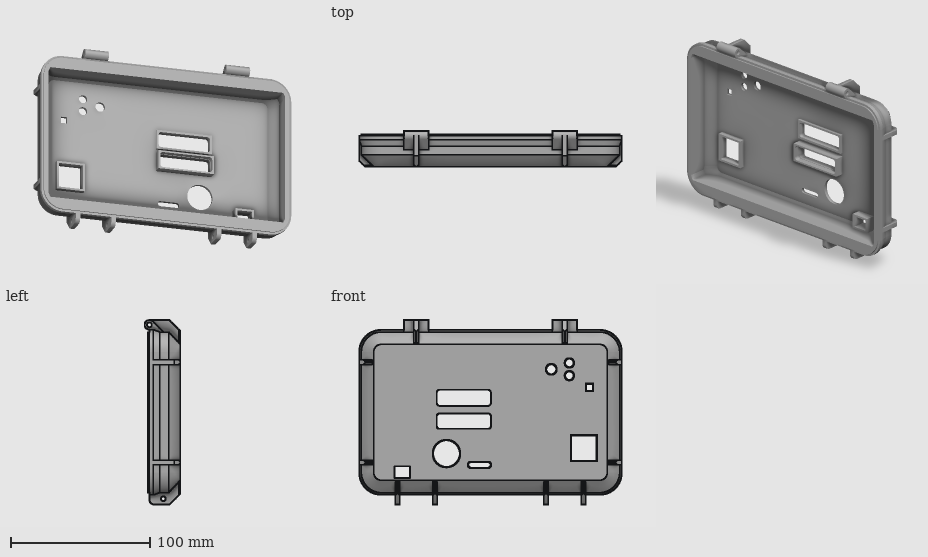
import cadquery as cq
import math

RIM_LENGTH = 188.52
RIM_HEIGHT = 118.52
RIM_CORNER_RADIUS = 16.0
RIM_Y = 22.3
WALL = 3.0
WAIST_INSET = 1.65
PANEL_INSET = 10.5
BEVEL_END_Y = 8.5
WAIST_END_Y = 14.85
RIM_START_Y = 19.4
LIP_HEIGHT = 1.1

OUTER_STATIONS = [
    (0, PANEL_INSET),
    (BEVEL_END_Y, WAIST_INSET),
    (WAIST_END_Y, WAIST_INSET),
    (RIM_START_Y, 0),
    (RIM_Y, 0),
]

CAVITY_LENGTH = 178.6
CAVITY_HEIGHT = 98.8
CAVITY_CORNER_RADIUS = 2.0
CAVITY_INSET = WAIST_INSET + WALL
BEVEL_SLOPE = (PANEL_INSET - WAIST_INSET) / BEVEL_END_Y
BEVEL_WALL_SHIFT = WALL * math.hypot(1, BEVEL_SLOPE)
CAVITY_FLOOR_INSET = PANEL_INSET + BEVEL_WALL_SHIFT - WALL * BEVEL_SLOPE
CAVITY_BEVEL_END_Y = WALL + (CAVITY_FLOOR_INSET - CAVITY_INSET) / BEVEL_SLOPE
CAVITY_STATIONS = [
    (WALL, CAVITY_FLOOR_INSET),
    (CAVITY_BEVEL_END_Y, CAVITY_INSET),
    (RIM_Y + LIP_HEIGHT, CAVITY_INSET),
]

RIB_WIDTH = 3.4
RIB_EDGE_CHAMFER = 1.2
RIM_TOP_Z = RIM_HEIGHT / 2
RIM_SIDE_X = RIM_LENGTH / 2
RIB_ROOT_Z = RIM_TOP_Z - PANEL_INSET - WALL
SIDE_RIB_ROOT_X = RIM_SIDE_X - PANEL_INSET - WALL
SIDE_RIB_Z = 36.0
SIDE_RIB_BEVEL = 4.4
LUG_REACH = 7.0
LUG_BEVEL = 8.0
HINGE_X = 53.26
KNUCKLE_LENGTH = 17.8
KNUCKLE_RADIUS = LUG_REACH / 2
HINGE_PIN_DIAMETER = 3.35
LATCH_LUG_OFFSET = 13.4
LATCH_LUG_RADIUS = 3.5
LATCH_PIN_DIAMETER = 3.2
LATCH_PIN_Y = 12.3
LATCH_PIN_Z = -62.0

COLLAR_WALL = 1.5
SOCKET_COLLAR_DEPTH = 7.0
SWITCH_COLLAR_DEPTH = 10.0
UPPER_DISPLAY_COLLAR_DEPTH = 5.2
LOWER_DISPLAY_COLLAR_DEPTH = 9.7
DISPLAY_STEP_Y = UPPER_DISPLAY_COLLAR_DEPTH
DISPLAY_STEP = 0.3

OPENING_CHAMFER = 0.5
OPENING_DEPTH = RIM_Y
DISPLAY_LENGTH = 38.7
DISPLAY_CORNER_RADIUS = 2.0
DISPLAY_X = -19.15
DISPLAYS = [
    (10.4, 11.4, UPPER_DISPLAY_COLLAR_DEPTH),
    (-6.35, 10.8, LOWER_DISPLAY_COLLAR_DEPTH),
]
DIAL_CENTER = (-31.6, -29.6)
DIAL_DIAMETER = 19.0
BUTTON_CENTER = (43.6, 30.85)
BUTTON_DIAMETER = 7.0
LAMP_CENTERS = [(56.55, 35.4), (56.55, 26.3)]
LAMP_DIAMETER = 6.0
PORT_SLOT_CENTER = (-7.9, -37.7)
PORT_SLOT_LENGTH = 16.0
PORT_SLOT_HEIGHT = 3.8
SWITCH_CENTER = (-63.25, -42.9)
SWITCH_SIZE = (11.0, 8.1)
SOCKET_CENTER = (67.0, -25.7)
SOCKET_SIZE = 18.0
SENSOR_CENTER = (71.0, 17.9)
SENSOR_SIZE = 4.7


def section_wire(y, inset):
    """Rim outline moved inward by `inset`, in the plane at `y`."""
    length = RIM_LENGTH - 2 * inset
    height = RIM_HEIGHT - 2 * inset
    outline = cq.Workplane("XZ", origin=(0, y, 0)).rect(length, height).val()
    return outline.fillet2D(RIM_CORNER_RADIUS - inset, outline.Vertices())


def lofted(stations):
    """Solid through the outlines of the (y, inset) stations, with straight walls between them."""
    wires = [section_wire(y, inset) for y, inset in stations]
    return cq.Workplane(cq.Solid.makeLoft(wires, True))


def outer_shell():
    lip = lofted([(RIM_Y, WAIST_INSET), (RIM_Y + LIP_HEIGHT, WAIST_INSET)])
    return lofted(OUTER_STATIONS).union(lip)


def hinge_rib():
    """Upright rib at x = 0, from the panel up to the hinge knuckle."""
    top_z = RIM_TOP_Z + LUG_REACH
    profile = [
        (RIM_Y, RIB_ROOT_Z),
        (RIM_Y, top_z),
        (LUG_BEVEL, top_z),
        (0, top_z - LUG_BEVEL),
        (0, RIB_ROOT_Z),
    ]
    rib = cq.Workplane("YZ").polyline(profile).close().extrude(RIB_WIDTH / 2, both=True)
    return rib.faces("<Y").edges("|Z").chamfer(RIB_EDGE_CHAMFER)


def hinge():
    """Knuckle with a 45 degree web down to the shell and a central rib, at x = 0."""
    center_z = RIM_TOP_Z + LUG_REACH - KNUCKLE_RADIUS
    tangent_shift = KNUCKLE_RADIUS * math.sqrt(0.5)
    tangent_y = RIM_Y - tangent_shift
    tangent_z = center_z + tangent_shift
    web_profile = [
        (RIM_Y, center_z),
        (tangent_y, tangent_z),
        (tangent_y - (tangent_z - RIB_ROOT_Z), RIB_ROOT_Z),
        (RIM_Y, RIB_ROOT_Z),
    ]
    web = cq.Workplane("YZ").polyline(web_profile).close().extrude(KNUCKLE_LENGTH / 2, both=True)
    axis = cq.Workplane("YZ").center(RIM_Y, center_z)
    knuckle = axis.circle(KNUCKLE_RADIUS).extrude(KNUCKLE_LENGTH / 2, both=True)
    pin_hole = axis.circle(HINGE_PIN_DIAMETER / 2).extrude(KNUCKLE_LENGTH, both=True)
    return knuckle.union(web).union(hinge_rib()).cut(pin_hole)


def latch_lug():
    """Lug with a pin hole under the bottom edge, at x = 0."""
    lug = hinge_rib().mirror("XY").edges("|X and >Y and <Z").fillet(LATCH_LUG_RADIUS)
    pin = cq.Workplane("YZ").center(LATCH_PIN_Y, LATCH_PIN_Z).circle(LATCH_PIN_DIAMETER / 2)
    return lug.cut(pin.extrude(RIB_WIDTH, both=True))


def side_rib():
    """Rib on the +X side at z = 0, flush with the rim and beveled towards the panel."""
    profile = [
        (SIDE_RIB_ROOT_X, 0),
        (RIM_SIDE_X - SIDE_RIB_BEVEL, 0),
        (RIM_SIDE_X, SIDE_RIB_BEVEL),
        (RIM_SIDE_X, RIM_START_Y),
        (SIDE_RIB_ROOT_X, RIM_START_Y),
    ]
    rib = cq.Workplane("XY").polyline(profile).close().extrude(RIB_WIDTH / 2, both=True)
    return rib.faces("<Y").edges("|X").chamfer(RIB_EDGE_CHAMFER)


def with_attachments(body):
    for side in (-1, 1):
        hinge_x = side * HINGE_X
        body = body.union(hinge().translate((hinge_x, 0, 0)))
        for offset in (-LATCH_LUG_OFFSET, LATCH_LUG_OFFSET):
            body = body.union(latch_lug().translate((hinge_x + offset, 0, 0)))
        rib = side_rib().translate((0, 0, side * SIDE_RIB_Z))
        body = body.union(rib).union(rib.mirror("YZ"))
    return body


def cavity():
    box = cq.Workplane("XZ").rect(CAVITY_LENGTH, CAVITY_HEIGHT).extrude(-RIM_Y - LIP_HEIGHT)
    box = box.edges("|Y").fillet(CAVITY_CORNER_RADIUS)
    return lofted(CAVITY_STATIONS).intersect(box)


def panel_at(center):
    return cq.Workplane("XZ").center(*center)


def collar(center, length, height, depth):
    """Block behind the panel that the opening at `center` is cut through."""
    outline = panel_at(center).rect(length + 2 * COLLAR_WALL, height + 2 * COLLAR_WALL)
    return outline.extrude(-depth)


def with_collars(body):
    for z, height, depth in DISPLAYS:
        body = body.union(collar((DISPLAY_X, z), DISPLAY_LENGTH, height, depth))
    body = body.union(collar(SWITCH_CENTER, *SWITCH_SIZE, SWITCH_COLLAR_DEPTH))
    return body.union(collar(SOCKET_CENTER, SOCKET_SIZE, SOCKET_SIZE, SOCKET_COLLAR_DEPTH))


def through_panel(outline):
    """Cutter through the panel from an outline drawn on its front face."""
    return outline.extrude(-OPENING_DEPTH)


def chamfered(cutter):
    """Cutter widened at the panel face so that it leaves a chamfered rim."""
    face = cutter.faces("<Y").wires().val()
    wide = face.offset2D(OPENING_CHAMFER)[0]
    narrow = face.moved(cq.Location(cq.Vector(0, OPENING_CHAMFER, 0)))
    return cutter.union(cq.Workplane(cq.Solid.makeLoft([wide, narrow], True)))


def square_cutter(center, size):
    """Square cutter with a pyramid-shaped chamfer at the panel face."""
    hole = through_panel(panel_at(center).rect(size, size))
    wide = size + 2 * OPENING_CHAMFER
    rim = panel_at(center).rect(wide, wide).extrude(-OPENING_CHAMFER, taper=45)
    return hole.union(rim)


def display_cutter(center, height):
    """Rounded window that gets slightly larger behind the step."""
    window = through_panel(panel_at(center).rect(DISPLAY_LENGTH, height))
    window = window.edges("|Y").fillet(DISPLAY_CORNER_RADIUS)
    relief_plane = cq.Workplane("XZ", origin=(0, DISPLAY_STEP_Y, 0)).center(*center)
    relief_outline = relief_plane.rect(DISPLAY_LENGTH + 2 * DISPLAY_STEP, height + 2 * DISPLAY_STEP)
    relief = relief_outline.extrude(DISPLAY_STEP_Y - OPENING_DEPTH)
    return window.union(relief.edges("|Y").fillet(DISPLAY_CORNER_RADIUS + DISPLAY_STEP))


def panel_openings():
    cutters = []
    for z, height, _ in DISPLAYS:
        cutters.append(display_cutter((DISPLAY_X, z), height))
    cutters.append(through_panel(panel_at(SWITCH_CENTER).rect(*SWITCH_SIZE)))

    chamfered_outlines = [
        panel_at(DIAL_CENTER).circle(DIAL_DIAMETER / 2),
        panel_at(BUTTON_CENTER).circle(BUTTON_DIAMETER / 2),
        panel_at(PORT_SLOT_CENTER).slot2D(PORT_SLOT_LENGTH, PORT_SLOT_HEIGHT),
    ]
    for center in LAMP_CENTERS:
        chamfered_outlines.append(panel_at(center).circle(LAMP_DIAMETER / 2))
    for outline in chamfered_outlines:
        cutters.append(chamfered(through_panel(outline)))
    for center, size in ((SOCKET_CENTER, SOCKET_SIZE), (SENSOR_CENTER, SENSOR_SIZE)):
        cutters.append(square_cutter(center, size))
    return cutters


body = with_attachments(outer_shell()).cut(cavity())
result = with_collars(body)
for opening in panel_openings():
    result = result.cut(opening)